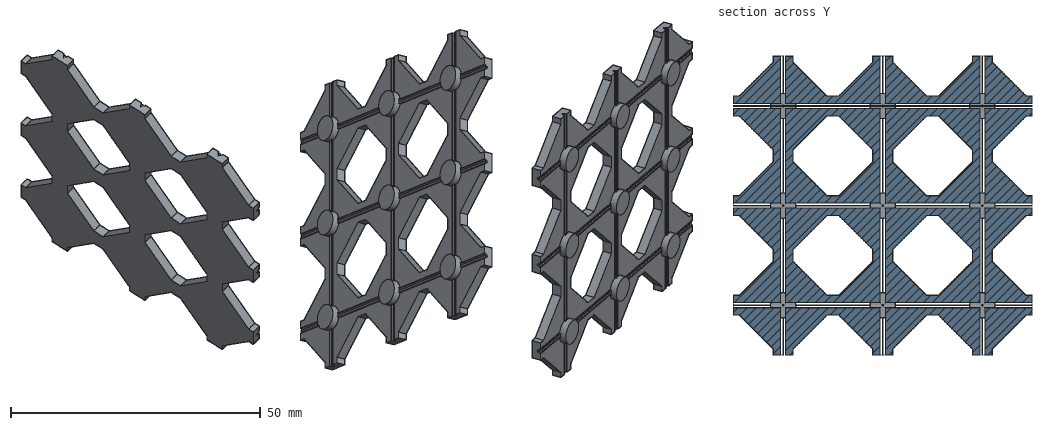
import cadquery as cq
import math

SIDE = 60.0
CELLS = 3
PITCH = SIDE / CELLS
PLATE_THICKNESS = 2.0
TAB_WIDTH = 4.0
TAB_LENGTH = 1.2
BACK_FACE = PLATE_THICKNESS

PEG_DIAMETER = 5.1
PEG_HEIGHT = 1.5

CHANNEL_WIDTH = 1.0
CHANNEL_DEPTH = 0.85
CHANNEL_WALL = 0.2
NOTCH_HEIGHT = 0.25

WIRE_DIAMETER = 0.5
V_HALF_ANGLE = math.atan2(CHANNEL_WIDTH / 2, CHANNEL_DEPTH - CHANNEL_WALL)
CHANNEL_BOTTOM = BACK_FACE - CHANNEL_DEPTH
WIRE_CENTER = CHANNEL_BOTTOM + WIRE_DIAMETER / 2 / math.sin(V_HALF_ANGLE)

LINES = [(i - (CELLS - 1) / 2) * PITCH for i in range(CELLS)]
CELL_CENTERS = [(x, z) for x in LINES for z in LINES]


def xz_plane(x, y, z):
    """Workplane parallel to XZ that extrudes toward +Y."""
    return cq.Workplane(cq.Plane(origin=(x, y, z), xDir=(0, 0, 1), normal=(0, 1, 0)))


def make_cell(x, z):
    """Diamond plate with a square-ended tab on each of its four corners."""
    tab_end = PITCH / 2
    tab_root = tab_end - TAB_LENGTH
    tab_half = TAB_WIDTH / 2
    corner = [(tab_end, -tab_half), (tab_end, tab_half), (tab_root, tab_half), (tab_half, tab_root)]
    outline = []
    for _ in range(4):
        outline += corner
        corner = [(-v, u) for u, v in corner]
    return xz_plane(x, 0, z).polyline(outline).close().extrude(PLATE_THICKNESS)


def make_peg(x, z):
    return xz_plane(x, BACK_FACE, z).circle(PEG_DIAMETER / 2).extrude(PEG_HEIGHT)


def make_grid(bar):
    """Copy a bar that runs along Z to every column, and turned along X to every row."""
    turned_bar = bar.rotate((0, 0, 0), (0, 1, 0), 90)
    grid = cq.Workplane("XY")
    for offset in LINES:
        grid = grid.union(bar.translate((offset, 0, 0)))
        grid = grid.union(turned_bar.translate((0, 0, offset)))
    return grid


def make_channel_cutter():
    half = CHANNEL_WIDTH / 2
    top = BACK_FACE + NOTCH_HEIGHT
    v_top = BACK_FACE - CHANNEL_WALL
    profile = [(-half, top), (half, top), (half, v_top), (0, CHANNEL_BOTTOM), (-half, v_top)]
    bar = cq.Workplane("XY").polyline(profile).close().extrude(SIDE / 2, both=True)
    return make_grid(bar)


def make_panel():
    """Plate of joined cells with its pegs, cut through by the wire channels."""
    panel = cq.Workplane("XY")
    for x, z in CELL_CENTERS:
        panel = panel.union(make_cell(x, z)).union(make_peg(x, z))
    return panel.cut(make_channel_cutter())


def make_wire_grid():
    """Wires along every row and column, joined where they cross."""
    bar = cq.Workplane("XY").center(0, WIRE_CENTER).circle(WIRE_DIAMETER / 2).extrude(SIDE / 2, both=True)
    return make_grid(bar)


panel = make_panel()
wire_grid = make_wire_grid()

result = cq.Compound.makeCompound([panel.solids().val(), wire_grid.solids().val()])